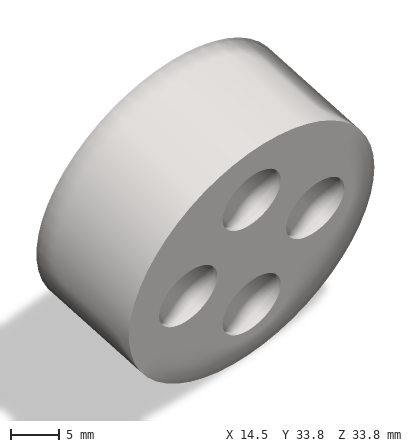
import cadquery as cq

disc_diameter = 33.8
disc_thickness = 14.5

hole_count = 4
hole_diameter = 8.0
hole_circle_diameter = 17.5

disc = cq.Workplane("YZ").circle(disc_diameter / 2).extrude(disc_thickness)

holes = (
    cq.Workplane("YZ")
    .polarArray(hole_circle_diameter / 2, 0, 360, hole_count)
    .circle(hole_diameter / 2)
    .extrude(disc_thickness)
)

result = disc.cut(holes)